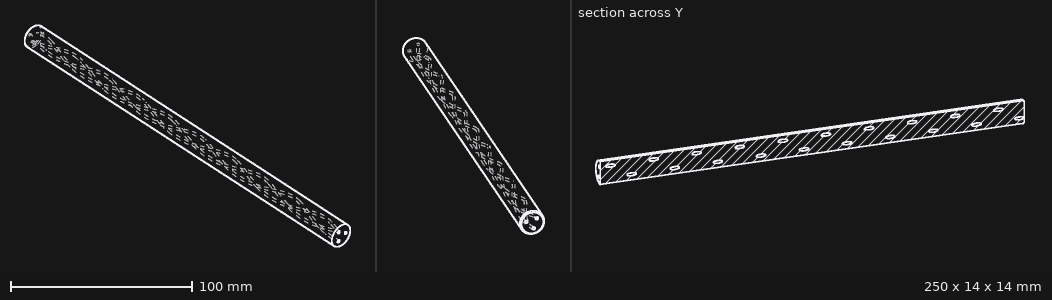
import cadquery as cq
import math

rod_length = 250.0
rod_diameter = 14.0
end_chamfer = 0.8

channel_count = 3
channel_diameter = 1.5
channel_circle_diameter = 7.0
first_channel_angle = 17.0
helix_angle = 30.0
helix_lead = math.pi * rod_diameter / math.tan(math.radians(helix_angle))


def make_rod():
    """Solid rod centred on the origin, chamfered at the -X end only."""
    rod = cq.Workplane("YZ").circle(rod_diameter / 2).extrude(rod_length / 2, both=True)
    return rod.faces("<X").edges().chamfer(end_chamfer)


def make_channel(start_angle):
    """Right-handed helical channel over the full rod length."""
    angle = math.radians(start_angle)
    radius = channel_circle_diameter / 2
    twist = 360.0 * rod_length / helix_lead
    return (
        cq.Workplane("YZ", origin=(-rod_length / 2, 0, 0))
        .moveTo(radius * math.cos(angle), radius * math.sin(angle))
        .circle(channel_diameter / 2)
        .twistExtrude(rod_length, twist)
    )


result = make_rod()
for index in range(channel_count):
    result = result.cut(make_channel(first_channel_angle + index * 360.0 / channel_count))